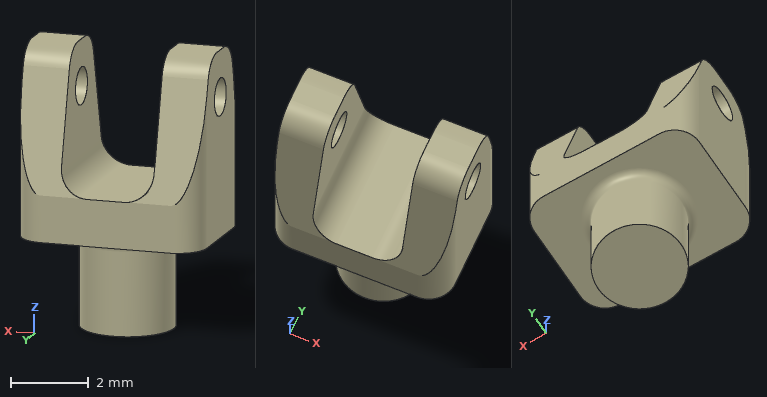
import cadquery as cq
import math

total_height = 7.5
body_width = total_height * 2 / 3
body_depth = total_height / 2
stem_height = total_height / 3
stem_diameter = total_height / 3
slot_width = body_width / 2
slot_floor_z = total_height / 2
corner_radius = 0.75
taper_angle = 15.0
pin_hole_diameter = 1.0
pin_hole_z = total_height - body_width / 4
neck_fillet = 0.25

tip_half_depth = body_depth / 2 - (total_height - slot_floor_z) * math.tan(math.radians(taper_angle))


def rounded_body():
    """Upright block with rounded vertical corners."""
    return (
        cq.Workplane("XY", origin=(0, 0, stem_height))
        .rect(body_width, body_depth)
        .extrude(total_height - stem_height)
        .edges("|Z")
        .fillet(corner_radius)
    )


def lug_profile():
    """Side outline, tapered above the slot floor and rounded at the tip."""
    return (
        cq.Workplane("YZ")
        .moveTo(-body_depth / 2, stem_height)
        .lineTo(body_depth / 2, stem_height)
        .lineTo(body_depth / 2, slot_floor_z)
        .lineTo(tip_half_depth, total_height)
        .lineTo(-tip_half_depth, total_height)
        .lineTo(-body_depth / 2, slot_floor_z)
        .close()
        .extrude(body_width / 2, both=True)
        .edges("|X and >Z")
        .fillet(corner_radius)
    )


def fork_slot():
    """Slot through Y with rounded floor corners, open at the top."""
    return (
        cq.Workplane("XY", origin=(0, 0, slot_floor_z))
        .rect(slot_width, body_depth)
        .extrude(total_height - slot_floor_z)
        .edges("|Y and <Z")
        .fillet(corner_radius)
    )


def pin_hole():
    """Cross hole through both lugs."""
    return (
        cq.Workplane("YZ", origin=(0, 0, pin_hole_z))
        .circle(pin_hole_diameter / 2)
        .extrude(body_width / 2, both=True)
    )


def stem():
    """Round stem that flares into the underside of the body."""
    radius = stem_diameter / 2
    arc_offset = neck_fillet * (1 - math.sqrt(0.5))
    return (
        cq.Workplane("XZ")
        .lineTo(radius, 0)
        .lineTo(radius, stem_height - neck_fillet)
        .threePointArc(
            (radius + arc_offset, stem_height - arc_offset),
            (radius + neck_fillet, stem_height),
        )
        .lineTo(0, stem_height)
        .close()
        .revolve(360, (0, 0, 0), (0, 1, 0))
    )


fork = rounded_body().intersect(lug_profile()).cut(fork_slot()).cut(pin_hole())
result = fork.union(stem())